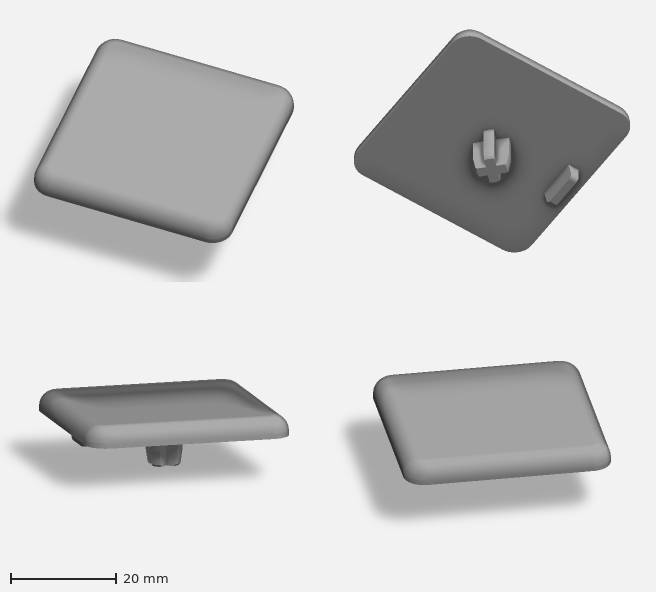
import cadquery as cq

cap_side = 40.0
cap_height = 4.0
cap_corner_radius = 4.0
cap_edge_radius = 3.0

peg_length = 8.0
peg_radius = 3.6
peg_arm_width = 2.0
peg_taper_start = 5.0
peg_taper_end = 7.6
peg_taper_radius = 3.2
peg_tip_radius = 2.9

tab_width = 8.25
tab_depth = 3.0
tab_corner_radius = 1.0
tab_edge_gap = 2.9
tab_root_thickness = 2.3
tab_tip_thickness = 1.6


def make_cap():
    cap = cq.Workplane("XY").rect(cap_side, cap_side).extrude(cap_height)
    cap = cap.edges("|Z").fillet(cap_corner_radius)
    return cap.faces(">Z").edges().fillet(cap_edge_radius)


def make_peg():
    """Tapered round pin, cut down to a cross with diagonal arms."""
    pin = (
        cq.Workplane("XZ")
        .moveTo(0, 0)
        .lineTo(peg_radius, 0)
        .lineTo(peg_radius, -peg_taper_start)
        .lineTo(peg_taper_radius, -peg_taper_end)
        .lineTo(peg_tip_radius, -peg_length)
        .lineTo(0, -peg_length)
        .close()
        .revolve(360, (0, 0), (0, 1))
    )
    arm = cq.Workplane("XY").rect(2 * peg_radius, peg_arm_width).extrude(-peg_length)
    cross = arm.union(arm.rotate((0, 0, 0), (0, 0, 1), 90))
    return pin.intersect(cross.rotate((0, 0, 0), (0, 0, 1), 45))


def make_tab():
    """Tab with an upright outer face, a sloping inner face and rounded lower corners."""
    outer_y = -cap_side / 2 + tab_edge_gap
    wedge = (
        cq.Workplane("YZ")
        .moveTo(outer_y, 0)
        .lineTo(outer_y + tab_root_thickness, 0)
        .lineTo(outer_y + tab_tip_thickness, -tab_depth)
        .lineTo(outer_y, -tab_depth)
        .close()
        .extrude(tab_width / 2, both=True)
    )
    lower_corners = wedge.faces("<Z").edges("|Y")
    return lower_corners.fillet(tab_corner_radius)


result = make_cap().union(make_peg()).union(make_tab())